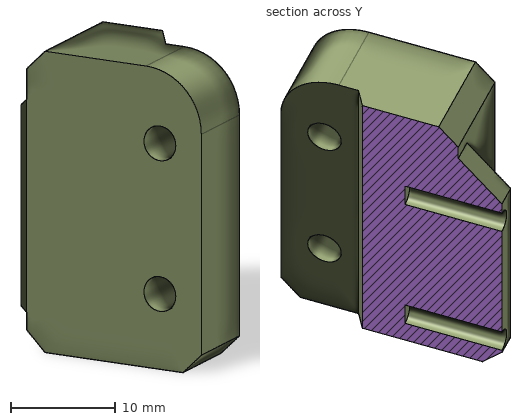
import cadquery as cq

width = 23.5
depth = 11.75
height = 30.0

corner_chamfer = 2.0
corner_radius = 6.0

flange_width = 4.5
flange_thickness = 4.5
flange_slope_start = 22.0
flange_slope_end = 26.5

relief_depth = 4.0
relief_floor_width = 8.0
relief_mouth_width = 10.5

mount_diameter = 3.45
mount_x = width - 4.5
mount_heights = (7.5, 22.5)

side_hole_diameter = 2.4
side_hole_depth = 10.0
side_hole_y = depth - flange_thickness / 2
side_hole_heights = (3.5, 19.5)


def make_block():
    """Main block with chamfered corners and one rounded top corner."""
    block = cq.Workplane("XY").box(width - flange_width, depth, height, centered=False)
    block = block.translate((flange_width, 0, 0))
    block = block.edges("|Y and (<X or <Z)").chamfer(corner_chamfer)
    return block.edges("|Y and >X and >Z").fillet(corner_radius)


def make_flange():
    """Flange plate that reaches behind the block's lower left chamfer."""
    inner_x = flange_width + corner_chamfer
    return (
        cq.Workplane("XZ", origin=(0, depth, 0))
        .moveTo(corner_chamfer, 0)
        .lineTo(inner_x, 0)
        .lineTo(inner_x, flange_slope_end)
        .lineTo(flange_width, flange_slope_end)
        .lineTo(0, flange_slope_start)
        .lineTo(0, corner_chamfer)
        .close()
        .extrude(flange_thickness)
    )


def make_relief():
    """Cutter for the back right relief."""
    floor_y = depth - relief_depth
    return (
        cq.Workplane("XY")
        .moveTo(width - relief_mouth_width, depth)
        .lineTo(width - relief_floor_width, floor_y)
        .lineTo(width, floor_y)
        .lineTo(width, depth)
        .close()
        .extrude(height)
    )


def make_mount_holes():
    """Cutters for the mounting holes."""
    return (
        cq.Workplane("XZ")
        .pushPoints([(mount_x, z) for z in mount_heights])
        .circle(mount_diameter / 2)
        .extrude(-depth)
    )


def make_side_holes():
    """Cutters for the blind side holes."""
    return (
        cq.Workplane("YZ")
        .pushPoints([(side_hole_y, z) for z in side_hole_heights])
        .circle(side_hole_diameter / 2)
        .extrude(side_hole_depth)
    )


result = (
    make_block()
    .union(make_flange())
    .cut(make_relief())
    .cut(make_mount_holes())
    .cut(make_side_holes())
)